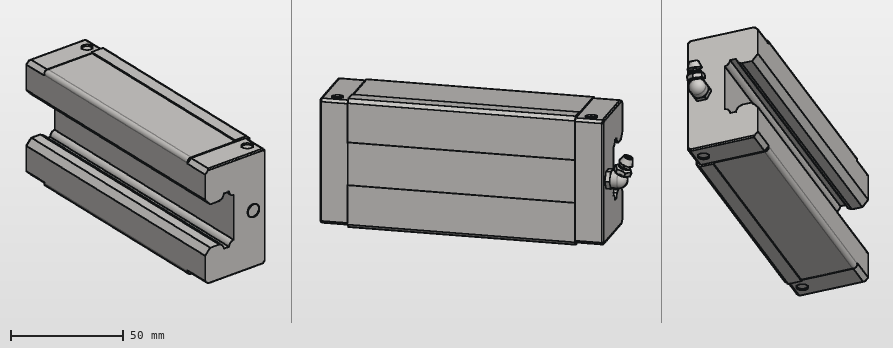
import cadquery as cq
import math


HEX_SIDES = 6
FULL_TURN = 360

end_cap_length = 13.0
block_length = 104.5
body_length = block_length + 2 * end_cap_length

block_depth = 35.0
block_height = 60.0
block_half_height = block_height / 2
side_relief = 0.5
side_relief_end = 26.8
back_relief = 0.4
back_relief_half_height = 10.0
block_back_chamfer = 1.7
block_front_fillet = 2.1

cap_depth = 34.1
cap_half_height = 29.1
cap_back_chamfer = 1.3
cap_front_chamfer = 2.1
cap_bevel_width = 0.7
cap_bevel_length = 0.5

channel_mouth_half = 14.1
channel_lip_half = 11.0
channel_lip_start = 2.9
channel_lip_end = 7.8
groove_edge_half = 12.0
groove_half = 14.0
groove_start = 10.7
groove_end = 13.4
groove_shoulder = 1.0
channel_floor_half = 11.3
channel_floor = 16.0

port_diameter = 5.3
port_inset = 6.8
port_y = 29.0
port_depth = 0.9
plug_diameter = 6.4
plug_height = 0.44

nipple_y = 27.0
base_hex_flats = 8.0
base_hex_length = 2.1
elbow_radius = 4.0
elbow_center_x = -5.3
outlet_tilt = 22.5
collar_hex_flats = 7.1
collar_bottom = 3.5
collar_crown_start = 5.3
collar_top = 6.4
rim_radius = 2.7
rim_top = 7.0
neck_radius = 0.7
tip_bottom = 8.4
tip_bottom_radius = 3.3
tip_top = 11.5
tip_top_radius = 2.1
tip_hole_radius = 1.1
tip_hole_depth = 0.7


def hex_corner_diameter(flats):
    return flats / math.cos(math.pi / HEX_SIDES)


def extrude_along_x(points, start, length):
    return cq.Workplane("YZ", origin=(start, 0, 0)).polyline(points).close().extrude(length)


def mirrored_outline(upper_points):
    """Close a half outline given from the open face to the back with its mirror image in Z."""
    return upper_points + [(y, -z) for y, z in reversed(upper_points)]


def make_block():
    relieved_half = block_half_height - side_relief
    outline = mirrored_outline([
        (0, relieved_half),
        (side_relief_end, relieved_half),
        (side_relief_end, block_half_height),
        (block_depth - block_back_chamfer, block_half_height),
        (block_depth, block_half_height - block_back_chamfer),
        (block_depth, back_relief_half_height),
        (block_depth - back_relief, back_relief_half_height),
    ])
    block = extrude_along_x(outline, end_cap_length, block_length)
    return block.edges("|X and <Y").fillet(block_front_fillet)


def make_end_cap(start, outer_face):
    outline = mirrored_outline([
        (0, cap_half_height - cap_front_chamfer),
        (cap_front_chamfer, cap_half_height),
        (cap_depth - cap_back_chamfer, cap_half_height),
        (cap_depth, cap_half_height - cap_back_chamfer),
    ])
    cap = extrude_along_x(outline, start, end_cap_length)
    behind_front = cq.selectors.BoxSelector(
        (-body_length, cap_front_chamfer, -block_half_height),
        (2 * body_length, block_depth, block_half_height),
    )
    bevel_edges = cap.faces(outer_face).edges(behind_front).vals()
    return cq.Workplane(cap.val().chamfer(cap_bevel_width, cap_bevel_length, bevel_edges))


def make_channel_half(side):
    """Channel from its mid plane to one flank, on the +Z (side = 1) or -Z (side = -1) half."""
    profile = (
        cq.Workplane("YZ")
        .lineTo(0, side * channel_mouth_half)
        .lineTo(channel_lip_start, side * channel_lip_half)
        .lineTo(channel_lip_end, side * channel_lip_half)
        .lineTo(groove_start - groove_shoulder, side * groove_edge_half)
        .lineTo(groove_start, side * groove_half)
        .lineTo(groove_end, side * groove_half)
        .threePointArc(
            (groove_end + groove_shoulder, side * groove_edge_half),
            (channel_floor, side * channel_floor_half),
        )
        .lineTo(channel_floor, 0)
        .close()
    )
    return profile.extrude(body_length)


def make_ports():
    """Shallow round ports in the top and bottom of both end caps."""
    ports = cq.Workplane()
    for x in (port_inset, body_length - port_inset):
        for side in (1, -1):
            origin = (x, port_y, side * cap_half_height)
            port = cq.Workplane("XY", origin=origin).circle(port_diameter / 2).extrude(-side * port_depth)
            ports = ports.add(port)
    return ports.combine()


def make_plug():
    plane = cq.Workplane("YZ", origin=(body_length, nipple_y, 0))
    return plane.circle(plug_diameter / 2).extrude(plug_height)


def revolved_on_z(points):
    return cq.Workplane("XZ").polyline(points).close().revolve(FULL_TURN, (0, 0, 0), (0, 1, 0))


def make_outlet():
    """Hexagonal collar with its rim, neck and tip, built upright on the elbow center."""
    corner_diameter = hex_corner_diameter(collar_hex_flats)
    corner_radius = corner_diameter / 2
    collar_plane = cq.Workplane("XY", origin=(0, 0, collar_bottom))
    collar = collar_plane.polygon(HEX_SIDES, corner_diameter).extrude(collar_top - collar_bottom)
    crown = revolved_on_z([
        (0, 0),
        (corner_radius, 0),
        (corner_radius, collar_crown_start),
        (rim_radius, collar_top),
        (0, collar_top),
    ])
    stem = revolved_on_z([
        (0, 0),
        (rim_radius, 0),
        (rim_radius, rim_top),
        (neck_radius, rim_top),
        (neck_radius, tip_bottom),
        (tip_bottom_radius, tip_bottom),
        (tip_top_radius, tip_top),
        (tip_hole_radius, tip_top),
        (tip_hole_radius, tip_top - tip_hole_depth),
        (0, tip_top - tip_hole_depth),
    ])
    return collar.intersect(crown).union(stem)


def make_nipple():
    base_plane = cq.Workplane("YZ")
    base = base_plane.polygon(HEX_SIDES, hex_corner_diameter(base_hex_flats)).extrude(-base_hex_length)
    elbow = (
        cq.Workplane("XZ")
        .lineTo(0, elbow_radius)
        .lineTo(elbow_center_x, elbow_radius)
        .radiusArc((elbow_center_x - elbow_radius, 0), -elbow_radius)
        .close()
        .revolve(FULL_TURN, (0, 0, 0), (1, 0, 0))
    )
    outlet = make_outlet().rotate((0, 0, 0), (0, 1, 0), -outlet_tilt).translate((elbow_center_x, 0, 0))
    return base.union(elbow).union(outlet).translate((0, nipple_y, 0))


left_cap = make_end_cap(0, "<X")
right_cap = make_end_cap(end_cap_length + block_length, ">X")
body = make_block().union(left_cap).union(right_cap)
body = body.cut(make_channel_half(1)).cut(make_channel_half(-1)).cut(make_ports())
result = body.union(make_plug()).union(make_nipple())